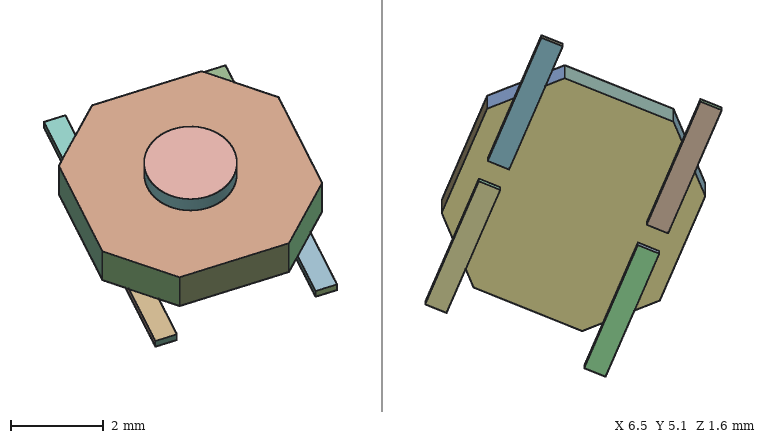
import cadquery as cq

overall_length = 6.5
overall_height = 1.6

housing_width = 5.1
housing_height = 1.0
corner_cut = 1.28

button_diameter = 2.0

lead_length = 3.0
lead_width = 0.5
lead_thickness = 0.2
lead_row_spacing = 3.72

housing_top = lead_thickness + housing_height
button_height = overall_height - housing_top
lead_center_x = (overall_length - lead_length) / 2
lead_center_y = lead_row_spacing / 2


def make_housing():
    """Octagonal block standing on the leads."""
    return (
        cq.Workplane("XY", origin=(0, 0, lead_thickness))
        .rect(housing_width, housing_width)
        .extrude(housing_height)
        .edges("|Z")
        .chamfer(corner_cut)
    )


def make_button():
    """Round button centred on the housing top."""
    return (
        cq.Workplane("XY", origin=(0, 0, housing_top))
        .circle(button_diameter / 2)
        .extrude(button_height)
    )


def make_lead(center_x, center_y):
    """One flat lead with its underside at Z = 0."""
    return (
        cq.Workplane("XY", origin=(center_x, center_y, 0))
        .rect(lead_length, lead_width)
        .extrude(lead_thickness)
    )


housing = make_housing()
button = make_button()
leads = [
    make_lead(side_x * lead_center_x, side_y * lead_center_y)
    for side_x in (-1, 1)
    for side_y in (-1, 1)
]

result = cq.Compound.makeCompound(
    [housing.val(), button.val(), *[lead.val() for lead in leads]]
)